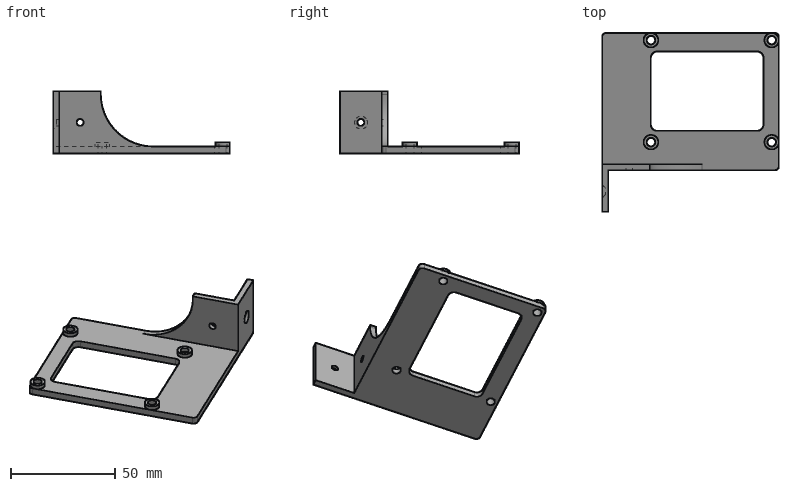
import cadquery as cq

plate_length = 85.0
plate_width = 66.0
plate_thickness = 3.5
corner_radius = 2.0

window_length = 54.0
window_width = 38.0
window_left = 23.5
window_front = 19.0
window_radius = 3.0

standoff_diameter = 7.0
standoff_height = 2.0
standoff_hole_diameter = 4.0
standoff_pitch_x = 58.0
standoff_pitch_y = 49.0
standoff_right_x = plate_length - standoff_diameter / 2
standoff_back_y = plate_width - standoff_diameter / 2
standoff_left_x = standoff_right_x - standoff_pitch_x
standoff_front_y = standoff_back_y - standoff_pitch_y

fixed_standoff_points = [
    (standoff_left_x, standoff_back_y),
    (standoff_right_x, standoff_back_y),
    (standoff_right_x, standoff_front_y),
]
loose_standoff_point = (standoff_left_x, standoff_front_y)

wall_thickness = 3.0
wall_height = 30.0
flange_reach = 20.0
sweep_radius = 25.0
wall_top_length = 23.0

screw_diameter = 3.2
screw_head_diameter = 6.2
countersink_angle = 90.0
screw_height = wall_height / 2
screw_from_corner = 13.0


def make_plate():
    blank = cq.Workplane("XY").box(plate_length, plate_width, plate_thickness, centered=False)
    return blank.edges("|Z").edges(">X or >Y").fillet(corner_radius)


def make_window():
    return (
        cq.Workplane("XY")
        .box(window_length, window_width, plate_thickness, centered=False)
        .edges("|Z")
        .fillet(window_radius)
        .translate((window_left, window_front, 0))
    )


def make_standoff(x, y):
    return (
        cq.Workplane("XY")
        .workplane(offset=plate_thickness)
        .center(x, y)
        .circle(standoff_diameter / 2)
        .circle(standoff_hole_diameter / 2)
        .extrude(standoff_height)
    )


def make_flange():
    return (
        cq.Workplane("XY")
        .box(wall_thickness, flange_reach + wall_thickness, wall_height, centered=False)
        .translate((0, -flange_reach, 0))
    )


def make_front_wall():
    sweep_end_x = wall_top_length + sweep_radius
    sweep_top_z = plate_thickness + sweep_radius
    return (
        cq.Workplane("XZ")
        .lineTo(sweep_end_x, 0)
        .lineTo(sweep_end_x, plate_thickness)
        .radiusArc((wall_top_length, sweep_top_z), sweep_radius)
        .lineTo(wall_top_length, wall_height)
        .lineTo(0, wall_height)
        .close()
        .extrude(-wall_thickness)
    )


def make_tray():
    tray = make_plate().cut(make_window())
    tray = tray.union(make_flange()).union(make_front_wall())

    standoff_holes = (
        cq.Workplane("XY")
        .pushPoints(fixed_standoff_points + [loose_standoff_point])
        .circle(standoff_hole_diameter / 2)
        .extrude(plate_thickness)
    )
    tray = tray.cut(standoff_holes)
    for x, y in fixed_standoff_points:
        tray = tray.union(make_standoff(x, y))

    tray = (
        tray.faces("<X")
        .workplane(origin=(0, wall_thickness - screw_from_corner, screw_height))
        .cskHole(screw_diameter, screw_head_diameter, countersink_angle, depth=wall_thickness)
    )

    front_hole = (
        cq.Workplane("XZ")
        .center(screw_from_corner, screw_height)
        .circle(screw_diameter / 2)
        .extrude(-wall_thickness)
    )
    return tray.cut(front_hole)


tray = make_tray()
loose_standoff = make_standoff(*loose_standoff_point)
result = cq.Compound.makeCompound([tray.solids().val(), loose_standoff.val()])